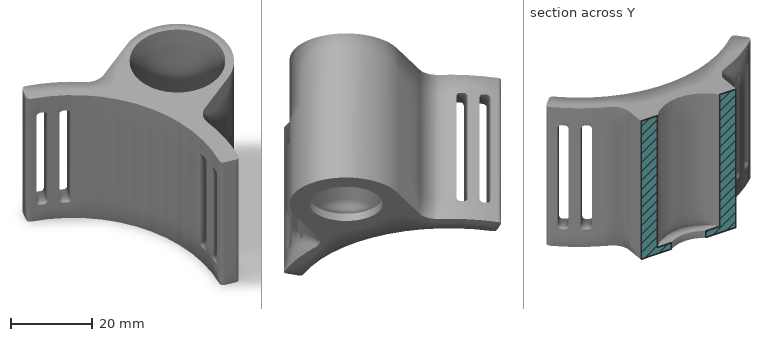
import cadquery as cq
import math

height = 40.0
saddle_inner_radius = 38.5
saddle_thickness = 5.0
saddle_outer_radius = saddle_inner_radius + saddle_thickness
saddle_half_angle = math.radians(43.6)
tip_fillet = 1.0

holder_radius = 13.9
holder_standoff = 18.75
holder_axis_y = saddle_inner_radius + holder_standoff
bore_diameter = 18.0
socket_diameter = 23.5
socket_floor = 2.0
neck_fillet = 4.8

slot_direction = 37.0
slot_offsets = (-5.0, 0.7)
slot_width = 2.75
slot_height = 30.0
slot_corner_radius = 1.0


def polar(radius, angle):
    """Point at a radius from the Z axis and an angle from +Y towards +X."""
    return (radius * math.sin(angle), radius * math.cos(angle))


def make_saddle():
    plate = (
        cq.Workplane("XY")
        .moveTo(*polar(saddle_inner_radius, -saddle_half_angle))
        .threePointArc(
            polar(saddle_inner_radius, 0),
            polar(saddle_inner_radius, saddle_half_angle),
        )
        .lineTo(*polar(saddle_outer_radius, saddle_half_angle))
        .threePointArc(
            polar(saddle_outer_radius, 0),
            polar(saddle_outer_radius, -saddle_half_angle),
        )
        .close()
        .extrude(height)
    )
    return plate.edges("|Z").fillet(tip_fillet)


def make_holder():
    """Solid half-round boss with straight sides that end inside the saddle."""
    root_y = saddle_inner_radius + saddle_thickness / 4
    return (
        cq.Workplane("XY")
        .moveTo(-holder_radius, root_y)
        .lineTo(holder_radius, root_y)
        .lineTo(holder_radius, holder_axis_y)
        .threePointArc((0, holder_axis_y + holder_radius), (-holder_radius, holder_axis_y))
        .close()
        .extrude(height)
    )


def fillet_neck(body):
    """Blend the straight sides of the holder into the convex saddle face."""
    corner_y = math.sqrt(saddle_outer_radius**2 - holder_radius**2)
    for side in (-1, 1):
        corner = (side * holder_radius, corner_y, height / 2)
        body = body.edges(cq.selectors.NearestToPointSelector(corner)).fillet(neck_fillet)
    return body


def cut_bore(body):
    bore = (
        cq.Workplane("XY")
        .center(0, holder_axis_y)
        .circle(bore_diameter / 2)
        .extrude(height)
    )
    socket = (
        cq.Workplane("XY", origin=(0, holder_axis_y, socket_floor))
        .circle(socket_diameter / 2)
        .extrude(height - socket_floor)
    )
    return body.cut(bore).cut(socket)


def make_slot(offset):
    """Cutter for one slot on the +X side, passing through the saddle wall."""
    middle_radius = (saddle_inner_radius + saddle_outer_radius) / 2
    cutter_depth = 2 * saddle_thickness
    return (
        cq.Workplane("XY")
        .box(slot_width, cutter_depth, slot_height)
        .edges("|Y")
        .fillet(slot_corner_radius)
        .translate((offset, middle_radius, height / 2))
        .rotate((0, 0, 0), (0, 0, 1), -slot_direction)
    )


def cut_slots(body):
    for offset in slot_offsets:
        slot = make_slot(offset)
        body = body.cut(slot).cut(slot.mirror("YZ"))
    return body


body = make_saddle().union(make_holder())
body = fillet_neck(body)
body = cut_bore(body)
result = cut_slots(body)